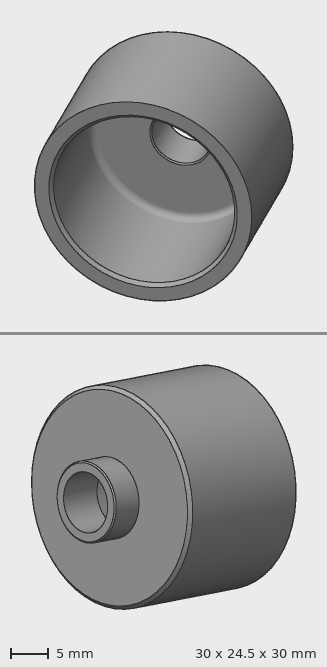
import cadquery as cq

body_diameter = 30.0
body_length = 20.0
body_chamfer = 0.5

boss_diameter = 11.0
boss_length = 4.5
boss_chamfer = 0.2

socket_diameter = 25.0
socket_depth = 18.0
socket_mouth_chamfer = 0.5
socket_floor_radius = 1.0

hole_diameter = 8.2
hole_chamfer = 0.2

total_length = body_length + boss_length


def cylinder(diameter, start, length):
    """Solid cylinder along +Y, beginning at Y = start."""
    return cq.Workplane("XZ", origin=(0, start, 0)).circle(diameter / 2).extrude(-length)


def make_body():
    """Main barrel with its closed end chamfered."""
    return cylinder(body_diameter, 0, body_length).faces(">Y").chamfer(body_chamfer)


def make_boss():
    """Spigot standing on the closed end."""
    return cylinder(boss_diameter, body_length, boss_length).faces(">Y").chamfer(boss_chamfer)


def make_socket():
    """Blind socket volume with a rounded floor edge."""
    return cylinder(socket_diameter, 0, socket_depth).faces(">Y").edges().fillet(socket_floor_radius)


def make_countersink(hole_size, start, chamfer):
    """Cone that chamfers a hole rim at Y = start, narrowing towards +Y."""
    rim_radius = hole_size / 2 + chamfer
    cone = cq.Solid.makeCone(
        rim_radius, hole_size / 2, chamfer, pnt=cq.Vector(0, start, 0), dir=cq.Vector(0, 1, 0)
    )
    return cq.Workplane(cone)


result = (
    make_body()
    .union(make_boss())
    .cut(make_socket())
    .cut(make_countersink(socket_diameter, 0, socket_mouth_chamfer))
    .cut(cylinder(hole_diameter, 0, total_length))
    .cut(make_countersink(hole_diameter, socket_depth, hole_chamfer))
)